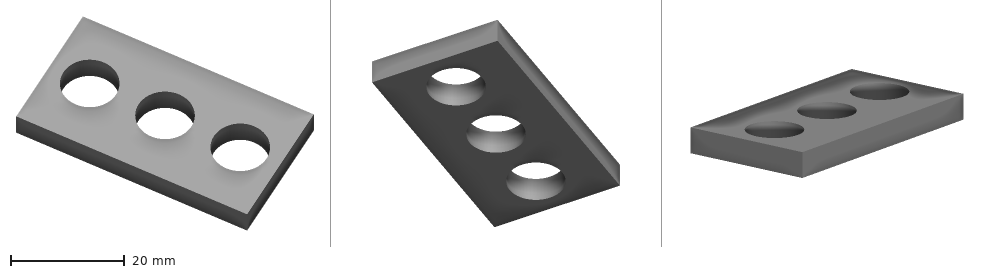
import cadquery as cq

length = 46.0
width = 25.0
thickness = 4.75

hole_count = 3
hole_diameter = 10.5
hole_spacing = 15.0

plate = cq.Workplane("XY").box(length, width, thickness)

result = (
    plate.faces(">Z")
    .workplane()
    .rarray(hole_spacing, width, hole_count, 1)
    .hole(hole_diameter)
)